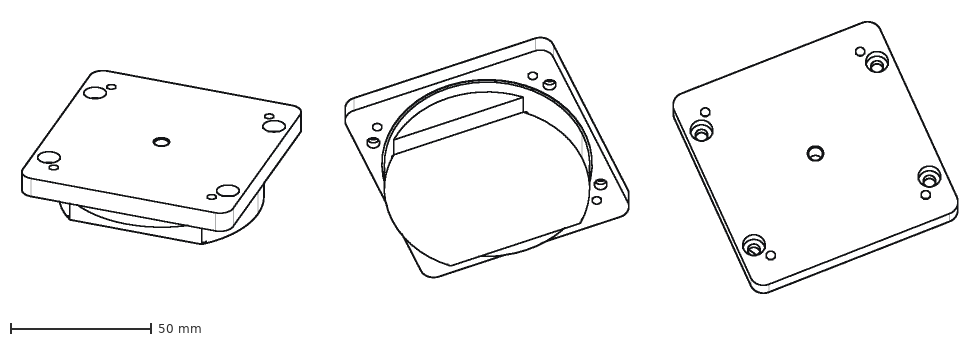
import cadquery as cq

PLATE_LENGTH = 79.9
PLATE_WIDTH = 80
PLATE_THICKNESS = 7.5
CORNER_RADIUS = 5.0
STEP_DIAMETER = 75.0
STEP_HEIGHT = 0.3

SCREW_SPACING_X = 68
SCREW_SPACING_Y = 48
SCREW_HOLE_DIAMETER = 4.5
COUNTERBORE_DIAMETER = 8
COUNTERBORE_DEPTH = 4.4
PLAIN_HOLE_SPACING = 60
PLAIN_HOLE_DIAMETER = 3.3
CENTRE_HOLE_DIAMETER = 5.0
CENTRE_CHAMFER = 0.4
CENTRE_CHAMFER_ANGLE = 90

TOTAL_HEIGHT = 22.6
BASE_DIAMETER = 73.3
BASE_HEIGHT = TOTAL_HEIGHT - PLATE_THICKNESS - STEP_HEIGHT
FLAT_WIDTH = 53.5
FLAT_HEIGHT = 8.9

SLIT_OUTER_SPAN = 52.3
SLIT_SIDE = 1.6
SLIT_FLOOR = 0.5
SLIT_HEIGHT = 0.2


def make_plate_blank():
    step = cq.Workplane("XY").workplane(offset=BASE_HEIGHT).circle(STEP_DIAMETER / 2).extrude(STEP_HEIGHT)
    slab = (
        cq.Workplane("XY")
        .workplane(offset=BASE_HEIGHT + STEP_HEIGHT)
        .rect(PLATE_LENGTH, PLATE_WIDTH)
        .extrude(PLATE_THICKNESS)
        .edges("|Z")
        .fillet(CORNER_RADIUS)
    )
    return slab.union(step)


def plate_top(plate):
    return plate.faces(">Z").workplane(origin=(0, 0, 0))


def drill_screw_holes(plate):
    centres = plate_top(plate).rect(SCREW_SPACING_X, SCREW_SPACING_Y, forConstruction=True).vertices()
    return centres.cboreHole(SCREW_HOLE_DIAMETER, COUNTERBORE_DIAMETER, COUNTERBORE_DEPTH)


def drill_plain_holes(plate):
    centres = plate_top(plate).rect(PLAIN_HOLE_SPACING, PLAIN_HOLE_SPACING, forConstruction=True).vertices()
    return centres.hole(PLAIN_HOLE_DIAMETER)


def drill_centre_hole(plate):
    mouth_diameter = CENTRE_HOLE_DIAMETER + 2 * CENTRE_CHAMFER
    return plate_top(plate).cskHole(CENTRE_HOLE_DIAMETER, mouth_diameter, CENTRE_CHAMFER_ANGLE)


def make_plate():
    plate = make_plate_blank()
    plate = drill_screw_holes(plate)
    plate = drill_plain_holes(plate)
    return drill_centre_hole(plate)


def cut_flats(base):
    flat_cut_depth = (BASE_DIAMETER - FLAT_WIDTH) / 2
    flat_cut_centre = (FLAT_WIDTH + flat_cut_depth) / 2
    for side in (-1, 1):
        flat_cut = (
            cq.Workplane("XY")
            .center(0, side * flat_cut_centre)
            .rect(BASE_DIAMETER, flat_cut_depth)
            .extrude(FLAT_HEIGHT)
        )
        base = base.cut(flat_cut, clean=False)
    return base


def cut_corner_slits(base):
    slit_spacing = SLIT_OUTER_SPAN - SLIT_SIDE
    slits = (
        cq.Workplane("XY")
        .workplane(offset=SLIT_FLOOR)
        .rect(slit_spacing, slit_spacing, forConstruction=True)
        .vertices()
        .rect(SLIT_SIDE, SLIT_SIDE)
        .extrude(SLIT_HEIGHT)
    )
    return base.cut(slits, clean=False)


def make_base():
    radius = BASE_DIAMETER / 2
    base = (
        cq.Workplane("XY")
        .moveTo(-radius, 0)
        .threePointArc((0, radius), (radius, 0))
        .threePointArc((0, -radius), (-radius, 0))
        .close()
        .extrude(BASE_HEIGHT, clean=False)
    )
    base = cut_flats(base)
    return cut_corner_slits(base)


plate = make_plate()
base = make_base()

result = cq.Compound.makeCompound([plate.val(), base.val()])